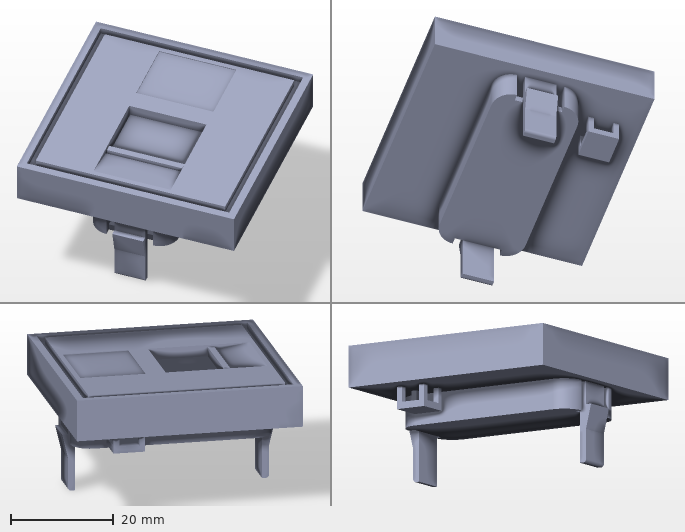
import cadquery as cq
import math

plate_side = 45
plate_height = 8.3
total_height = 24.3

rim_width = 1.55
groove_width = 1.35
groove_depth = 1.35
panel_side = plate_side - 2 * (rim_width + groove_width)

window_width = 15.98
window_end = 18.65
label_length = 13.0
label_depth = 0.2
pocket_length = 20.25
pocket_depth = 2.25
ramp_length = 6.9
ramp_depth = 1.12

shutter_gap = 0.2
gap_depth = 1.35
ridge_width = 1.3
ridge_height = 1.85

rail_length = 40.05
rail_height = 6.05
rail_radius = 3.95
rail_span = 17.6
rail_width = rail_radius
floor_thickness = 1.35

clip_width = 6.4
clip_thickness = 1.4
barb_reach = 1.15
barb_top = 12.82
barb_bottom = 17.75
tip_radius = 0.6

loop_side = 6.3
loop_height = 4.4
loop_wall = 1.15
loop_bottom = 1.35
loop_x = -14.85
loop_y = 11.05


def box(x_size, y_size, z_low, z_high, x=0, y=0):
    """Block centred on (x, y) between two heights."""
    height = z_high - z_low
    return cq.Workplane("XY").box(x_size, y_size, height).translate((x, y, (z_low + z_high) / 2))


def make_plate():
    plate = box(plate_side, plate_side, -plate_height, 0)
    groove_side = plate_side - 2 * rim_width
    groove = box(groove_side, groove_side, -groove_depth, 0)
    panel = box(panel_side, panel_side, -groove_depth, 0)
    label = box(window_width, label_length, -label_depth, 0, y=window_end - label_length / 2)
    return plate.cut(groove.cut(panel)).cut(label)


def make_pocket():
    """Volume removed for the socket pocket, leaving the ramp, shutter and ridge."""
    front = -window_end
    back = front + pocket_length
    ramp_back = front + ramp_length
    outline = [
        (front, 0),
        (ramp_back, -ramp_depth),
        (ramp_back, -pocket_depth),
        (back, -pocket_depth),
        (back, 0),
    ]
    pocket = cq.Workplane("YZ").polyline(outline).close().extrude(window_width / 2, both=True)

    shutter_length = pocket_length - ramp_length - shutter_gap
    shutter_width = window_width - 2 * shutter_gap
    shutter_y = back - shutter_length / 2
    gap_bottom = -pocket_depth - gap_depth
    well_y = (back + ramp_back) / 2
    well = box(window_width, back - ramp_back, gap_bottom, -pocket_depth, y=well_y)
    shutter = box(shutter_width, shutter_length, gap_bottom, -pocket_depth, y=shutter_y)
    ridge_y = back - shutter_length + ridge_width / 2
    ridge = box(shutter_width, ridge_width, -pocket_depth, -pocket_depth + ridge_height, y=ridge_y)
    return pocket.union(well).cut(shutter).cut(ridge)


def make_rails():
    bottom = -plate_height - rail_height
    block = box(rail_span, rail_length, bottom, -plate_height).edges("|Z").fillet(rail_radius)
    inner_width = rail_span - 2 * rail_width
    channel = box(inner_width, rail_length, bottom, -plate_height)
    floor_length = rail_length - 2 * clip_thickness
    floor = box(inner_width, floor_length, bottom, bottom + floor_thickness)
    return block.cut(channel).union(floor)


def make_clip():
    """Clip at the -Y end, with an outward barb and a rounded tip."""
    outer = -rail_length / 2
    inner = outer + clip_thickness
    tip = -total_height
    arc_inset = tip_radius * (1 - math.sqrt(0.5))
    return (
        cq.Workplane("YZ")
        .moveTo(inner, -plate_height)
        .lineTo(outer, -plate_height)
        .lineTo(outer, -barb_top)
        .lineTo(outer - barb_reach, -barb_top)
        .lineTo(outer, -barb_bottom)
        .lineTo(outer, tip + tip_radius)
        .threePointArc((outer + arc_inset, tip + arc_inset), (outer + tip_radius, tip))
        .lineTo(inner, tip)
        .close()
        .extrude(clip_width / 2, both=True)
    )


def make_loop():
    bottom = -plate_height - loop_height
    loop = box(loop_side, loop_side, bottom, -plate_height, loop_x, loop_y)
    opening = loop_side - 2 * loop_wall
    for x_size, y_size in ((opening, loop_side), (loop_side, opening)):
        loop = loop.cut(box(x_size, y_size, bottom + loop_bottom, -plate_height, loop_x, loop_y))
    return loop


clip = make_clip()
result = (
    make_plate()
    .cut(make_pocket())
    .union(make_rails())
    .union(clip)
    .union(clip.mirror("XZ"))
    .union(make_loop())
)